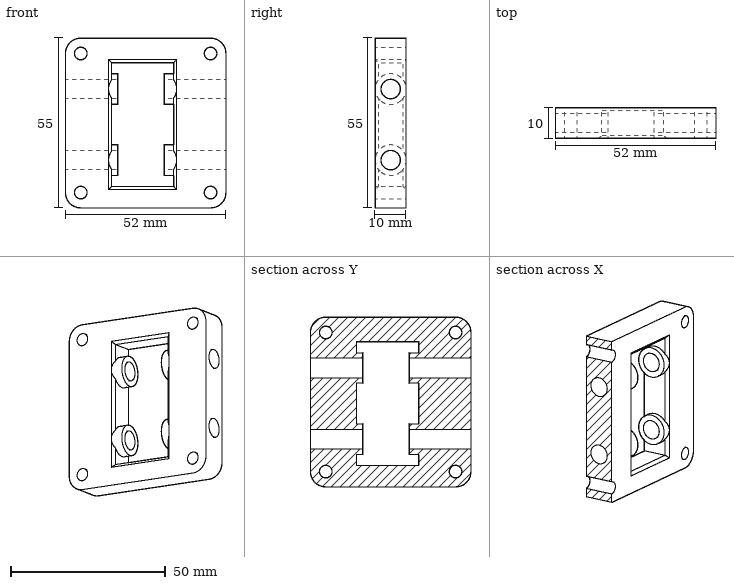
import cadquery as cq

plate_width = 52.0
plate_thickness = 10.0
plate_height = 55.0
corner_radius = 5.0

mount_hole_diameter = 4.0
mount_hole_x = plate_width / 2 - corner_radius
mount_hole_z = plate_height / 2 - corner_radius

window_width = 20.0
window_height = 40.0
window_center_x = -1.0
window_center_z = -0.5
rim_chamfer = 1.0
window_left = window_center_x - window_width / 2
window_right = window_center_x + window_width / 2

boss_diameter = 10.0
bore_diameter = 6.2
bore_spacing = 23.0
left_boss_length = 2.0
right_boss_length = 3.0
boss_embed = 2.0
bore_heights = [window_center_z + side * bore_spacing / 2 for side in (-1, 1)]


def cylinder_along_x(start_x, end_x, center_z, diameter):
    """Cylinder parallel to X, centred in the plate thickness."""
    return (
        cq.Workplane("YZ", origin=(start_x, 0, center_z))
        .circle(diameter / 2)
        .extrude(end_x - start_x)
    )


def make_plate():
    """Rounded plate with its four corner holes."""
    return (
        cq.Workplane("XZ")
        .rect(plate_width, plate_height)
        .extrude(plate_thickness / 2, both=True)
        .edges("|Y")
        .fillet(corner_radius)
        .faces("<Y")
        .workplane(origin=(0, 0, 0))
        .rect(2 * mount_hole_x, 2 * mount_hole_z, forConstruction=True)
        .vertices()
        .hole(mount_hole_diameter)
    )


def make_window():
    """Cutter for the window: a straight opening that flares at both faces."""
    opening = cq.Workplane("XY").box(window_width, plate_thickness, window_height)
    for face_side in (-1, 1):
        flare = (
            cq.Workplane("XZ", origin=(0, face_side * plate_thickness / 2, 0))
            .rect(window_width + 2 * rim_chamfer, window_height + 2 * rim_chamfer)
            .workplane(offset=face_side * rim_chamfer)
            .rect(window_width, window_height)
            .loft(ruled=True)
        )
        opening = opening.union(flare)
    return opening.translate((window_center_x, 0, window_center_z))


def add_bosses(body):
    """Add the left and right boss at each bore height."""
    for height in bore_heights:
        left_boss = cylinder_along_x(
            window_left - boss_embed, window_left + left_boss_length, height, boss_diameter
        )
        right_boss = cylinder_along_x(
            window_right - right_boss_length, window_right + boss_embed, height, boss_diameter
        )
        body = body.union(left_boss).union(right_boss)
    return body


def cut_bores(body):
    """Bore across the full plate width through both bosses."""
    for height in bore_heights:
        body = body.cut(cylinder_along_x(-plate_width / 2, plate_width / 2, height, bore_diameter))
    return body


result = cut_bores(add_bosses(make_plate().cut(make_window())))